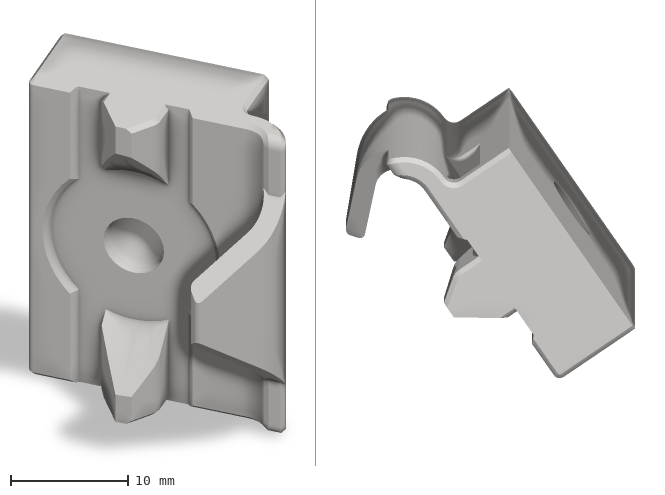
import cadquery as cq
import math


LENGTH = 30.0
BLOCK_WIDTH = 19.0
BLOCK_DEPTH = 8.0
FRONT_EDGE_RADIUS = 0.6
END_CHAMFER = 0.4
HOLE_DIAMETER = 5.5

RECESS_DEPTH = 0.6
CHANNEL_FLOOR_WIDTH = 10.0
SEAT_FLOOR_RADIUS = 7.5

TOOTH_LEFT = -2.55
TOOTH_RIGHT = 3.2
TOOTH_TIP_LEFT = 0.13
TOOTH_TIP_RIGHT = 1.6
TOOTH_TIP_DEPTH = 12.15
TOOTH_LEFT_SHOULDER_DEPTH = 8.4
TOOTH_RIGHT_SHOULDER_DEPTH = 9.93
TOOTH_SHOULDER_RADIUS = 1.5

SLOT_START_DEPTH = 3.0
SLOT_DEPTH = 3.0
SLOT_LENGTH = 10.0
SLOT_CENTER_Z = -8.0

FLANGE_THICKNESS = 2.0
FLANGE_ROOT_RADIUS = 1.0
FLANGE_LIP_DEPTH = 9.45
FLANGE_CORNER_RADIUS = 1.0
HOOK_OUTER_RADIUS = 4.12
HOOK_INNER_RADIUS = 2.33
HOOK_REACH_DEPTH = 16.82
HOOK_TIP_RADIUS = 0.5
HOOK_TIP_LENGTH = 4.1

HALF_LENGTH = LENGTH / 2
HALF_WIDTH = BLOCK_WIDTH / 2
FLOOR_DEPTH = BLOCK_DEPTH - RECESS_DEPTH
FLANGE_BACK_DEPTH = BLOCK_DEPTH - FLANGE_THICKNESS
HOOK_CENTER_X = HALF_WIDTH + FLANGE_ROOT_RADIUS
HOOK_ARC_END_ANGLE = -45
HOOK_ARC_MID_ANGLE = (90 + HOOK_ARC_END_ANGLE) / 2
COS45 = math.sqrt(0.5)
TOLERANCE = 1e-4


def extrude_full_length(outline):
    """Extrude a closed XY outline over the whole length, centred on Z = 0."""
    return outline.close().extrude(HALF_LENGTH, both=True)


def arc_point(radius, center_depth, degrees):
    """Point on a hook arc; both arcs are centred at the same X."""
    angle = math.radians(degrees)
    return (HOOK_CENTER_X + radius * math.cos(angle), -center_depth + radius * math.sin(angle))


def make_profile_bar():
    """Block, flange and hook as one constant section."""
    outer_center = FLANGE_BACK_DEPTH + HOOK_OUTER_RADIUS
    inner_center = BLOCK_DEPTH + HOOK_INNER_RADIUS
    outer_mid = arc_point(HOOK_OUTER_RADIUS, outer_center, HOOK_ARC_MID_ANGLE)
    outer_end = arc_point(HOOK_OUTER_RADIUS, outer_center, HOOK_ARC_END_ANGLE)
    inner_mid = arc_point(HOOK_INNER_RADIUS, inner_center, HOOK_ARC_MID_ANGLE)
    inner_end = arc_point(HOOK_INNER_RADIUS, inner_center, HOOK_ARC_END_ANGLE)

    outer_tip_y = -(HOOK_REACH_DEPTH - HOOK_TIP_RADIUS + HOOK_TIP_RADIUS / COS45)
    outer_tip = (outer_end[0] + outer_tip_y - outer_end[1], outer_tip_y)
    side_offset = ((outer_end[0] - outer_end[1]) - (inner_end[0] - inner_end[1])) / 2
    inner_tip = (outer_tip[0] - side_offset, outer_tip[1] + side_offset)

    root_mid = (
        HOOK_CENTER_X - FLANGE_ROOT_RADIUS * COS45,
        -FLANGE_BACK_DEPTH + FLANGE_ROOT_RADIUS * (1 - COS45),
    )
    outline = (
        cq.Workplane("XY")
        .moveTo(-HALF_WIDTH, 0)
        .lineTo(HALF_WIDTH, 0)
        .lineTo(HALF_WIDTH, -FLANGE_BACK_DEPTH + FLANGE_ROOT_RADIUS)
        .threePointArc(root_mid, (HOOK_CENTER_X, -FLANGE_BACK_DEPTH))
        .threePointArc(outer_mid, outer_end)
        .lineTo(*outer_tip)
        .lineTo(*inner_tip)
        .lineTo(*inner_end)
        .threePointArc(inner_mid, (HOOK_CENTER_X, -BLOCK_DEPTH))
        .lineTo(-HALF_WIDTH, -BLOCK_DEPTH)
    )
    bar = extrude_full_length(outline)
    for corner in (outer_tip, inner_tip):
        bar = bar.edges(cq.selectors.NearestToPointSelector((*corner, 0))).fillet(HOOK_TIP_RADIUS)
    front_left = (-HALF_WIDTH, -BLOCK_DEPTH, 0)
    return bar.edges(cq.selectors.NearestToPointSelector(front_left)).fillet(FRONT_EDGE_RADIUS)


def make_block_with_flange(bar):
    """Bar cut off at the flange lip, with rounded lip corners and chamfered ends."""
    envelope = (
        cq.Workplane("XY")
        .box(2 * BLOCK_WIDTH, FLANGE_LIP_DEPTH, LENGTH)
        .translate((HALF_WIDTH, -FLANGE_LIP_DEPTH / 2, 0))
        .edges("<Y and |X")
        .fillet(FLANGE_CORNER_RADIUS)
    )
    body = bar.intersect(envelope)
    top_edges = [e for e in body.faces(">Z").edges().vals() if e.Center().y < -TOLERANCE]
    return body.newObject(top_edges).chamfer(END_CHAMFER)


def make_hook(bar):
    """Hook arm, narrowing at 45 degrees to its tip."""
    tip_half = HOOK_TIP_LENGTH / 2
    root_half = tip_half + HOOK_REACH_DEPTH - BLOCK_DEPTH
    envelope = (
        cq.Workplane("YZ")
        .polyline([
            (-BLOCK_DEPTH, -root_half),
            (-HOOK_REACH_DEPTH, -tip_half),
            (-HOOK_REACH_DEPTH, tip_half),
            (-BLOCK_DEPTH, root_half),
        ])
        .close()
        .extrude(BLOCK_WIDTH)
    )
    return bar.intersect(envelope)


def make_channel():
    """Full-length channel with 45 degree walls."""
    floor_half = CHANNEL_FLOOR_WIDTH / 2
    mouth_half = floor_half + RECESS_DEPTH
    outline = cq.Workplane("XY").polyline([
        (-floor_half, -FLOOR_DEPTH),
        (floor_half, -FLOOR_DEPTH),
        (mouth_half, -BLOCK_DEPTH),
        (-mouth_half, -BLOCK_DEPTH),
    ])
    return extrude_full_length(outline)


def make_seat_cone(end_depth):
    """45 degree cone opening forward from the seat floor to the given depth."""
    height = end_depth - FLOOR_DEPTH
    return cq.Workplane(cq.Solid.makeCone(
        SEAT_FLOOR_RADIUS,
        SEAT_FLOOR_RADIUS + height,
        height,
        pnt=cq.Vector(0, -FLOOR_DEPTH, 0),
        dir=cq.Vector(0, -1, 0),
    ))


def make_teeth():
    """Two teeth: one full-length ridge with its middle cut away by the seat cone."""
    outline = cq.Workplane("XY").polyline([
        (TOOTH_LEFT, -FLOOR_DEPTH),
        (TOOTH_RIGHT, -FLOOR_DEPTH),
        (TOOTH_RIGHT, -TOOTH_RIGHT_SHOULDER_DEPTH),
        (TOOTH_TIP_RIGHT, -TOOTH_TIP_DEPTH),
        (TOOTH_TIP_LEFT, -TOOTH_TIP_DEPTH),
        (TOOTH_LEFT, -TOOTH_LEFT_SHOULDER_DEPTH),
    ])
    ridge = extrude_full_length(outline)
    shoulder = (TOOTH_RIGHT, -TOOTH_RIGHT_SHOULDER_DEPTH, 0)
    ridge = ridge.edges(cq.selectors.NearestToPointSelector(shoulder)).fillet(TOOTH_SHOULDER_RADIUS)
    for end in (">Z", "<Z"):
        right_flank = [e for e in ridge.faces(end).edges().vals() if e.Center().x > TOOTH_TIP_RIGHT]
        ridge = ridge.newObject(right_flank).chamfer(END_CHAMFER)
    for side in (1, -1):
        wedge = (
            cq.Workplane("XZ")
            .polyline([
                (TOOTH_LEFT, side * HALF_LENGTH),
                (TOOTH_LEFT + END_CHAMFER, side * HALF_LENGTH),
                (TOOTH_LEFT, side * (HALF_LENGTH - END_CHAMFER)),
            ])
            .close()
            .extrude(TOOTH_TIP_DEPTH)
        )
        ridge = ridge.cut(wedge)
    return ridge.cut(make_seat_cone(TOOTH_TIP_DEPTH))


def make_hole():
    """Screw hole from the back through the front."""
    return cq.Workplane("XZ").circle(HOLE_DIAMETER / 2).extrude(BLOCK_DEPTH)


def make_slot():
    """Rectangular slot through both sides of the block."""
    center_y = -(SLOT_START_DEPTH + SLOT_DEPTH / 2)
    through_width = 2 * HOOK_CENTER_X
    slot = cq.Workplane("XY").box(through_width, SLOT_DEPTH, SLOT_LENGTH)
    return slot.translate((0, center_y, SLOT_CENTER_Z))


profile_bar = make_profile_bar()
result = (
    make_block_with_flange(profile_bar)
    .union(make_hook(profile_bar))
    .cut(make_channel())
    .cut(make_seat_cone(BLOCK_DEPTH))
    .union(make_teeth())
    .cut(make_hole())
    .cut(make_slot())
)